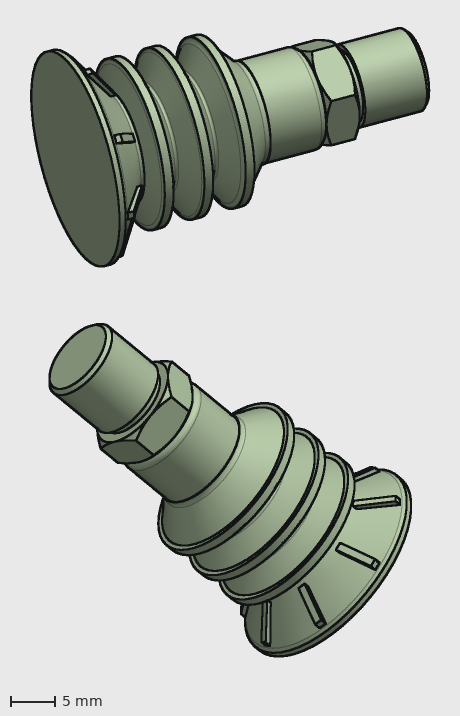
import cadquery as cq
import math

total_length = 41.5

stud_radius = 9.7 / 2
stud_start = 33.45
stud_chamfer = 0.5
neck_radius = 8.5 / 2

hex_start = 28.4
hex_end = 32.48
hex_flats = 10.95
hex_corner_chamfer = 0.6

sleeve_radius = 12.0 / 2
sleeve_start = 21.3
sleeve_fillet = 0.85
flare_top_radius = 6.05
flare_middle_radius = 6.1
flare_bottom_radius = 6.25
flare_end = 20.57

ring_radius = 20.0 / 2
ring_width = 1.08
ring_starts = (16.55, 11.5, 6.65)
ring_upper_root = 9.4
ring_lower_root = 9.8
blend_drops = (0.3, 0.12, 0.12)
groove_radius = 6.45
groove_edge_radius = 6.55
groove_width = 0.45
groove_starts = (14.25, 9.37, 5.2)

cup_radius = 25.0 / 2
lip_height = 1.1
lip_chamfer = 0.37

rib_count = 8
rib_width = 0.95
rib_inner_radius = 7.95
rib_outer_radius = 11.95
rib_top = 4.73
rib_shoulder = 2.0
rib_embed = 0.4


def disc(radius, start, end):
    return cq.Workplane("XZ", origin=(0, start, 0)).circle(radius).extrude(start - end)


def make_stud():
    neck = disc(neck_radius, hex_end, stud_start)
    thread = disc(stud_radius, stud_start, total_length).faces(">Y").chamfer(stud_chamfer)
    return neck.union(thread)


def make_hexagon():
    flat_radius = hex_flats / 2
    corner_radius = flat_radius / math.cos(math.pi / 6)
    prism = (
        cq.Workplane("XZ", origin=(0, hex_start, 0))
        .polygon(6, 2 * corner_radius)
        .extrude(hex_start - hex_end)
        .rotate((0, 0, 0), (0, 1, 0), 30)
    )
    chamfer_envelope = (
        cq.Workplane("XY")
        .polyline([
            (0, hex_start),
            (flat_radius, hex_start),
            (corner_radius, hex_start + hex_corner_chamfer),
            (corner_radius, hex_end - hex_corner_chamfer),
            (flat_radius, hex_end),
            (0, hex_end),
        ])
        .close()
        .revolve(360, (0, 0, 0), (0, 1, 0))
    )
    return prism.intersect(chamfer_envelope)


def make_sleeve():
    return disc(sleeve_radius, sleeve_start, hex_start).faces(">Y").edges().fillet(sleeve_fillet)


def make_bellows():
    profile = (
        cq.Workplane("XY")
        .moveTo(0, sleeve_start)
        .lineTo(flare_top_radius, sleeve_start)
        .threePointArc(
            (flare_middle_radius, (sleeve_start + flare_end) / 2),
            (flare_bottom_radius, flare_end),
        )
    )
    for ring_start, groove_start, blend_drop in zip(ring_starts, groove_starts, blend_drops):
        ring_end = ring_start + ring_width
        groove_end = groove_start + groove_width

        drop_share = blend_drop / (ring_start - groove_end)
        blend_radius = ring_lower_root - drop_share * (ring_lower_root - groove_edge_radius)
        blend_middle = ((ring_lower_root + blend_radius) / 2, ring_start - blend_drop / 3)

        profile = (
            profile.lineTo(ring_upper_root, ring_end)
            .lineTo(ring_radius, ring_end)
            .lineTo(ring_radius, ring_start)
            .lineTo(ring_lower_root, ring_start)
            .threePointArc(blend_middle, (blend_radius, ring_start - blend_drop))
            .lineTo(groove_edge_radius, groove_end)
            .threePointArc(
                (groove_radius, groove_start + groove_width / 2),
                (groove_edge_radius, groove_start),
            )
        )
    return (
        profile.lineTo(cup_radius - lip_chamfer, lip_height)
        .lineTo(cup_radius, lip_height - lip_chamfer)
        .lineTo(cup_radius, 0)
        .lineTo(0, 0)
        .close()
        .revolve(360, (0, 0, 0), (0, 1, 0))
    )


def cone_height(radius):
    """Height of the conical back of the cup at a given radius."""
    lip_root = cup_radius - lip_chamfer
    slope = (groove_starts[-1] - lip_height) / (lip_root - groove_edge_radius)
    return lip_height + (lip_root - radius) * slope


def make_rib():
    return (
        cq.Workplane("XY")
        .polyline([
            (rib_inner_radius, rib_top),
            (rib_outer_radius, rib_shoulder),
            (rib_outer_radius, cone_height(rib_outer_radius) - rib_embed),
            (rib_inner_radius, cone_height(rib_inner_radius) - rib_embed),
        ])
        .close()
        .extrude(rib_width / 2, both=True)
    )


result = make_bellows().union(make_sleeve()).union(make_hexagon()).union(make_stud())
for index in range(rib_count):
    rib_angle = index * 360 / rib_count
    result = result.union(make_rib().rotate((0, 0, 0), (0, 1, 0), rib_angle))